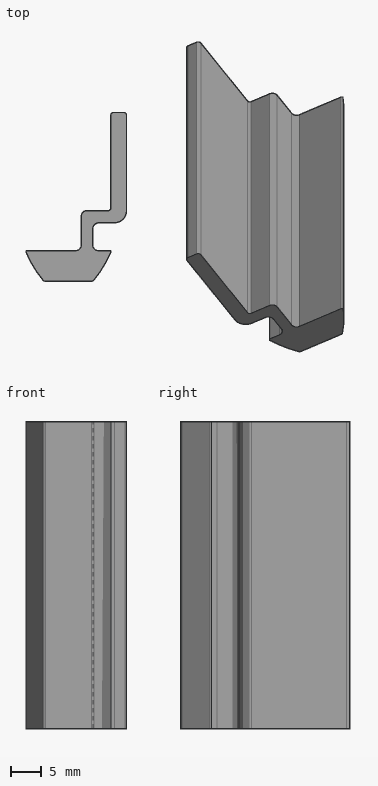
import cadquery as cq
import math

length = 50.0
depth = 27.5
width = 16.4

head_width = 13.85
head_base_width = 8.0
head_height = 5.0
head_tip_radius = 0.2
flank_lean = 23.0
head_base_radius = 0.5

stem_width = 1.9
stem_left = 9.0
crossbar_thickness = 2.0
crossbar_top = 11.5
leaf_thickness = 2.6

stem_foot_radius = 0.9
stem_shoulder_radius = 0.9
stem_inner_radius = 1.0
leaf_root_radius = 0.4
leaf_heel_radius = 2.0
leaf_tip_radius = 0.5

stem_right = stem_left + stem_width
crossbar_bottom = crossbar_top - crossbar_thickness
leaf_left = width - leaf_thickness


def make_head():
    """Dovetail head, symmetric about its own centre plane, with rounded tips and bowed flanks."""
    half_width = head_width / 2
    lean = math.radians(flank_lean)
    tip_center_x = half_width - head_tip_radius
    tip_center_y = head_height - head_tip_radius
    tip_end = (
        tip_center_x + head_tip_radius * math.cos(lean),
        tip_center_y - head_tip_radius * math.sin(lean),
    )
    half_outline = (
        cq.Workplane("XY")
        .moveTo(0, head_height)
        .lineTo(tip_center_x, head_height)
        .threePointArc((half_width, tip_center_y), tip_end)
        .tangentArcPoint((head_base_width / 2, 0), relative=False)
        .lineTo(0, 0)
    )
    head = half_outline.mirrorY().extrude(length)
    return head.edges("|Z and <Y").fillet(head_base_radius).translate((half_width, 0, 0))


def make_web():
    """Z-shaped web rising from the head: stem, crossbar and leaf."""
    return (
        cq.Workplane("XY")
        .moveTo(stem_left, head_height / 2)
        .lineTo(stem_right, head_height / 2)
        .lineTo(stem_right, crossbar_bottom)
        .lineTo(width, crossbar_bottom)
        .lineTo(width, depth)
        .lineTo(leaf_left, depth)
        .lineTo(leaf_left, crossbar_top)
        .lineTo(stem_left, crossbar_top)
        .close()
        .extrude(length)
    )


def round_corner(body, x, y, radius):
    """Fillet the lengthwise edge that passes through (x, y)."""
    edge = body.edges(cq.selectors.NearestToPointSelector((x, y, length / 2)))
    return body.newObject(edge.vals()).fillet(radius)


rounded_corners = [
    (stem_left, head_height, stem_foot_radius),
    (stem_right, head_height, stem_foot_radius),
    (stem_left, crossbar_top, stem_shoulder_radius),
    (stem_right, crossbar_bottom, stem_inner_radius),
    (leaf_left, crossbar_top, leaf_root_radius),
    (width, crossbar_bottom, leaf_heel_radius),
    (leaf_left, depth, leaf_tip_radius),
    (width, depth, leaf_tip_radius),
]

result = make_head().union(make_web())
for corner_x, corner_y, corner_radius in rounded_corners:
    result = round_corner(result, corner_x, corner_y, corner_radius)